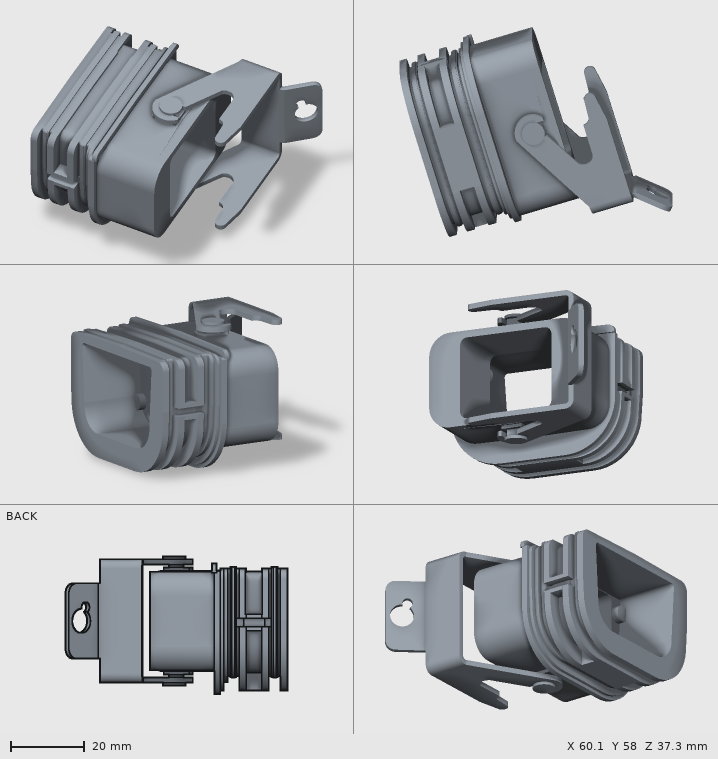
import cadquery as cq
import math


overlap = 1.0

arc_start_z = -4.9
draft_start_z = 0.2
side_draft = 0.35
gable_slope = 0.019

rib_half, rib_peak, rib_bottom, rib_corner = 23.55, 14.27, -18.86, 2.5
core_half, core_bottom, core_corner = 20.55, -15.0, 0.6
gasket_half, gasket_peak, gasket_bottom = 21.6, 14.7, -15.4
gasket_crest_drop = 0.2
step_half, step_bottom = 22.1, -16.6
channel_half, channel_peak, channel_bottom, channel_corner = 19.7, 13.45, -14.0, 2.2

rib_spans = [(0, 1.98), (5.06, 7.05), (11.16, 13.15), (17.26, 18.2)]
channel_start, channel_end = rib_spans[1][1], rib_spans[2][0]
core_spans = [(0, channel_start), (channel_end, rib_spans[3][1])]
gasket_spans = [(2.7, 4.37), (13.9, 15.57)]
step_start = 16.2
flange_start, flange_end = 18.2, 19.8
body_end = 37.25

flange_half, flange_top, flange_bottom = 24.5, 13.7, -19.8
lip_start, lip_end, lip_base, lip_peak, lip_corner = 19.2, 20.5, 13.0, 15.65, 1.8

body_half_y, body_half_z, body_corner = 22.85, 13.35, 6.3
crown_half_y, crown_rise = 16.4, 0.25
crown_side_end, crown_centre_end = 35.0, 34.1

cavity_depth = 18.0
cavity_top, cavity_bottom, cavity_top_half, cavity_low_half = 11.6, -12.3, 17.75, 16.6
cavity_flat_half, cavity_corner = 10.4, 1.0
window_half_y, window_half_z, window_corner = 13.6, 11.35, 2.0
stud_y, stud_z, stud_radius, stud_length = 16.0, 6.6, 2.3, 2.0

bridge_z, bridge_height, bridge_half = -0.45, 4.5, 23.5
slot_height = 2.3
pad_start, pad_end, pad_half = 4.3, 13.9, 20.9
tongue_start, tongue_end, tongue_half = 6.25, 11.9, 21.2
block_half_y = 9.0
relief_y, relief_width = 14.7, 0.25

pin_x, pin_head_radius, pin_head_z = 30.65, 3.1, 17.5
shaft_radius, shaft_flat = 2.5, 1.5
boss_top, boss_flat, boss_half_y = 14.5, 2.9, 3.0
eye_radius = 5.05
sheet = 1.45
lever_half_z = 16.7
lever_back_y, lever_end_x = 26.55, 50.8
lever_bend = 2.45
back_start_x, back_lower_y = 39.1, 23.95
mouth_top, mouth_bottom = 1.9, -2.55
catch_y, catch_radius, slot_x = 1.94, 1.95, 44.25
slot_arc_start_y = 10.2
slot_crown_x, slot_crown_y = 42.1, 12.5
slot_shoulder_x, slot_shoulder_y = 40.0, 11.9
mouth_lip_x, hook_reach, hook_y = 34.1, 3.7, -3.4
back_notch = 0.3
tip_x, tip_y, tip_radius = 48.05, -4.45, 1.6

tab_angle = 41.0
tab_half_z, tab_corner = 10.2, 2.75
tab_tip_x, tab_tip_y = 60.11, 33.5
keyhole_radius, keyhole_from_tip = 3.25, 4.5
key_radius, key_shift, key_z = 1.4, 1.5, 3.7


def yz_plane(x):
    """Plane at station x whose local axes are Y and Z."""
    return cq.Workplane("YZ", origin=(x, 0, 0))


def box(x0, x1, y0, y1, z0, z1):
    return cq.Workplane("XY").box(x1 - x0, y1 - y0, z1 - z0, centered=False).translate((x0, y0, z0))


def plug_slice(x0, x1, half, peak, bottom, corner, draft=side_draft):
    """Slab with a gabled top, rounded top corners and large arcs into a flat bottom."""
    radius = arc_start_z - bottom
    low = half - draft
    flat = low - radius
    diagonal = radius * math.sqrt(0.5)
    shoulder = peak - gable_slope * (half - corner)
    inset = corner * (1 - math.sqrt(0.5))
    outline = (
        yz_plane(x0)
        .moveTo(0, peak)
        .lineTo(half - corner, shoulder)
        .threePointArc((half - inset, shoulder - inset), (half, shoulder - corner))
        .lineTo(half, draft_start_z)
        .lineTo(low, arc_start_z)
        .threePointArc((flat + diagonal, arc_start_z - diagonal), (flat, bottom))
        .lineTo(-flat, bottom)
        .threePointArc((-flat - diagonal, arc_start_z - diagonal), (-low, arc_start_z))
        .lineTo(-half, draft_start_z)
        .lineTo(-half, shoulder - corner)
        .threePointArc((-half + inset, shoulder - inset), (-half + corner, shoulder))
        .close()
    )
    return outline.extrude(x1 - x0)


def gasket(x0, x1):
    """Sealing ring: a base slab carrying a narrower crest."""
    crest_inset = (x1 - x0) / 4
    base = plug_slice(x0, x1, gasket_half - gasket_crest_drop, gasket_peak,
                      gasket_bottom + gasket_crest_drop, core_corner)
    crest = plug_slice(x0 + crest_inset, x1 - crest_inset, gasket_half, gasket_peak,
                       gasket_bottom, core_corner)
    return base.union(crest)


def both_sides(x0, x1, inner_y, outer_y, height):
    """Pair of boxes mirrored about Y = 0, centred on the bridge height."""
    low, high = bridge_z - height / 2, bridge_z + height / 2
    near = box(x0, x1, -outer_y, -inner_y, low, high)
    return near.union(near.mirror("XZ"))


def ribs():
    """Slabs on both sides of the channel, with the channel relief and the side slots."""
    body = box(channel_start, channel_end, -block_half_y, block_half_y, rib_bottom, channel_bottom + overlap)
    for x0, x1 in core_spans:
        body = body.union(plug_slice(x0, x1, core_half, rib_peak, core_bottom, core_corner))
    for x0, x1 in rib_spans:
        body = body.union(plug_slice(x0, x1, rib_half, rib_peak, rib_bottom, rib_corner))
    relief = box(channel_start - relief_width, channel_end + relief_width,
                 relief_y, rib_half, bridge_z + bridge_height / 2, rib_peak)
    body = body.cut(relief)
    channel_inner_y = channel_half - overlap
    bridges = both_sides(channel_start, channel_end, channel_inner_y, bridge_half, bridge_height)
    slots = both_sides(rib_spans[1][0], rib_spans[2][1], core_half, rib_half, slot_height)
    pads = both_sides(pad_start, pad_end, channel_inner_y, pad_half, slot_height)
    tongues = both_sides(tongue_start, tongue_end, channel_inner_y, tongue_half, slot_height)
    return body.union(bridges).cut(slots).union(pads).union(tongues)


def plug():
    floor_start, floor_end = channel_start - relief_width, channel_end + relief_width
    body = ribs().union(
        plug_slice(floor_start, floor_end, channel_half, channel_peak, channel_bottom, channel_corner))
    for x0, x1 in gasket_spans:
        body = body.union(gasket(x0, x1))
    return body.union(plug_slice(step_start, flange_start, step_half, rib_peak, step_bottom, rib_corner))


def flange():
    plate = plug_slice(flange_start, flange_end, flange_half, flange_top, flange_bottom, core_corner, draft=0)
    lip = plug_slice(lip_start, lip_end, flange_half, lip_peak, flange_bottom, lip_corner, draft=0)
    keep = box(lip_start, lip_end, -flange_half, flange_half, lip_base, lip_peak)
    return plate.union(lip.intersect(keep))


def rear_body():
    body = (
        yz_plane(flange_start)
        .rect(2 * body_half_y, 2 * body_half_z)
        .extrude(body_end - flange_start)
        .edges("|X")
        .fillet(body_corner)
    )
    crown_z = body_half_z + crown_rise
    crown = (
        yz_plane(flange_start)
        .polyline([(-crown_half_y, body_half_z), (0, crown_z), (crown_half_y, body_half_z), (0, -crown_z)])
        .close()
        .extrude(crown_side_end - flange_start)
    )
    crown_plan = (
        cq.Workplane("XY")
        .polyline([
            (flange_start, -crown_half_y),
            (crown_side_end, -crown_half_y),
            (crown_centre_end, 0),
            (crown_side_end, crown_half_y),
            (flange_start, crown_half_y),
        ])
        .close()
        .extrude(crown_z)
    )
    crown = crown.intersect(crown_plan)
    return body.union(crown).union(crown.mirror("XY"))


def cavity():
    """Tapered front cavity with two studs standing on its end step, and the rear window."""
    arc_y = cavity_flat_half + (cavity_low_half - cavity_flat_half) * math.sqrt(0.5)
    arc_z = arc_start_z + (cavity_bottom - arc_start_z) * math.sqrt(0.5)
    front = (
        yz_plane(0)
        .moveTo(-cavity_top_half, cavity_top)
        .lineTo(cavity_top_half, cavity_top)
        .lineTo(cavity_low_half, arc_start_z)
        .threePointArc((arc_y, arc_z), (cavity_flat_half, cavity_bottom))
        .lineTo(-cavity_flat_half, cavity_bottom)
        .threePointArc((-arc_y, arc_z), (-cavity_low_half, arc_start_z))
        .close()
        .extrude(cavity_depth)
        .edges("|X and >Z")
        .fillet(cavity_corner)
    )
    studs = (
        yz_plane(cavity_depth - stud_length)
        .pushPoints([(-stud_y, stud_z), (stud_y, -stud_z)])
        .circle(stud_radius)
        .extrude(stud_length)
    )
    window = (
        yz_plane(0)
        .rect(2 * window_half_y, 2 * window_half_z)
        .extrude(body_end)
        .edges("|X")
        .fillet(window_corner)
    )
    return front.cut(studs).union(window)


def pivot():
    """Upper pivot: clipped boss, flattened shaft and round head."""
    base = cq.Workplane("XY", origin=(pin_x, 0, body_half_z - overlap))
    boss = base.circle(eye_radius).extrude(boss_top - body_half_z + overlap)
    boss = boss.intersect(box(pin_x - eye_radius, pin_x + boss_flat, -boss_half_y, boss_half_y, 0, boss_top))
    shaft = base.circle(shaft_radius).extrude(lever_half_z - body_half_z + overlap)
    shaft = shaft.intersect(
        box(pin_x - eye_radius, pin_x + shaft_flat, -eye_radius, eye_radius, 0, lever_half_z))
    head = (
        cq.Workplane("XY", origin=(pin_x, 0, lever_half_z))
        .circle(pin_head_radius)
        .extrude(pin_head_z - lever_half_z)
    )
    return boss.union(shaft).union(head)


def lever_plan():
    """Hooked lever outline, extruded through the full lever height."""
    back_run = back_start_x - pin_x
    lean = math.atan2(back_lower_y, back_run) + math.asin(eye_radius / math.hypot(back_lower_y, back_run))
    tangent_x = pin_x - eye_radius * math.sin(lean)
    tangent_y = eye_radius * math.cos(lean)
    hook_x = pin_x + hook_reach
    outline = (
        cq.Workplane("XY", origin=(0, 0, -lever_half_z))
        .moveTo(tangent_x, tangent_y)
        .lineTo(back_start_x, back_lower_y)
        .lineTo(back_start_x + back_notch, lever_back_y)
        .lineTo(lever_end_x, lever_back_y)
        .lineTo(lever_end_x, catch_y)
        .lineTo(tip_x + tip_radius, tip_y)
        .threePointArc((tip_x, tip_y - tip_radius), (tip_x - tip_radius, tip_y))
        .lineTo(slot_x + catch_radius, catch_y - catch_radius)
        .threePointArc((slot_x + catch_radius * math.sqrt(0.5),
                        catch_y - catch_radius * (1 - math.sqrt(0.5))), (slot_x, catch_y))
        .lineTo(slot_x, slot_arc_start_y)
        .threePointArc((slot_crown_x, slot_crown_y), (slot_shoulder_x, slot_shoulder_y))
        .lineTo(mouth_lip_x, mouth_top)
        .lineTo(pin_x, mouth_top)
        .lineTo(pin_x, mouth_bottom)
        .lineTo(hook_x, mouth_bottom)
        .lineTo(hook_x, hook_y)
        .threePointArc((pin_x, -eye_radius), (tangent_x, tangent_y))
        .close()
    )
    return outline.extrude(2 * lever_half_z)


def lever():
    """Bent sheet lever: two hooked arms joined by the back plate."""
    channel = (
        cq.Workplane("YZ")
        .rect(2 * lever_back_y, 2 * lever_half_z)
        .extrude(lever_end_x)
        .edges("|X and >Y")
        .fillet(lever_bend)
    )
    hollow = (
        cq.Workplane("YZ")
        .rect(2 * (lever_back_y - sheet), 2 * (lever_half_z - sheet))
        .extrude(lever_end_x)
        .edges("|X and >Y")
        .fillet(lever_bend - sheet)
    )
    return lever_plan().intersect(channel.cut(hollow))


def thumb_tab():
    """Angled tab with a keyhole, leaving the rear edge of the back plate."""
    angle = math.radians(tab_angle)
    across = cq.Vector(math.sin(angle), -math.cos(angle), 0)
    outer_tip_x, outer_tip_y = tab_tip_x - sheet * across.x, tab_tip_y
    outer_bend_x = outer_tip_x - (outer_tip_y - lever_back_y) / math.tan(angle)
    tab = (
        cq.Workplane("XY", origin=(0, 0, -tab_half_z))
        .polyline([
            (lever_end_x, lever_back_y),
            (outer_bend_x, lever_back_y),
            (outer_tip_x, outer_tip_y),
            (tab_tip_x, outer_tip_y + sheet * across.y),
            (outer_bend_x + sheet * across.x, lever_back_y + sheet * across.y),
            (lever_end_x, lever_back_y - sheet),
        ])
        .close()
        .extrude(2 * tab_half_z)
        .edges(cq.selectors.ParallelDirSelector(across))
        .fillet(tab_corner)
    )
    face = cq.Plane(
        origin=(outer_tip_x, outer_tip_y, 0),
        xDir=(math.cos(angle), math.sin(angle), 0),
        normal=across.toTuple(),
    )
    round_hole = cq.Workplane(face).center(-keyhole_from_tip, 0).circle(keyhole_radius).extrude(sheet)
    key_hole = (
        cq.Workplane(face)
        .center(-keyhole_from_tip - key_shift, key_z)
        .circle(key_radius)
        .extrude(sheet)
    )
    return tab.cut(round_hole).cut(key_hole)


def build():
    housing = plug().union(flange()).union(rear_body())
    upper_pivot = pivot()
    housing = housing.union(upper_pivot).union(upper_pivot.mirror("XY"))
    return housing.cut(cavity()).union(lever()).union(thumb_tab())


result = build()